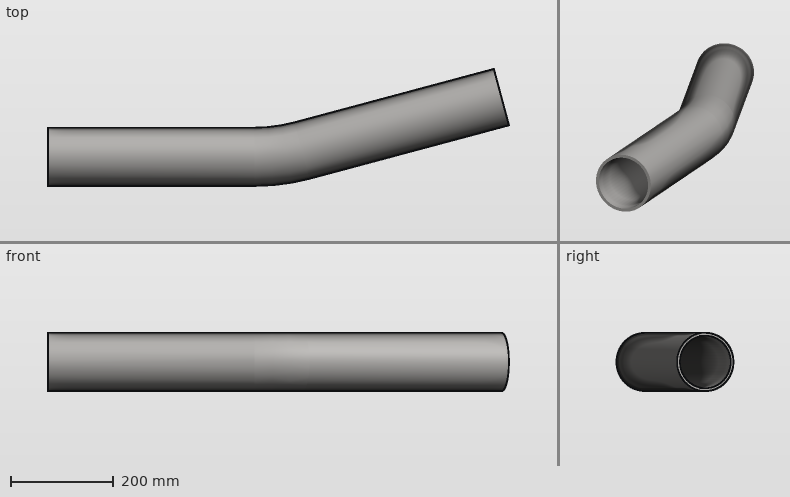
import cadquery as cq
import math

overall_length = 899.5
outer_diameter = 114.0
wall = 5.85
leg_length = 403.0
bend_angle = 15

outer_radius = outer_diameter / 2
inner_radius = outer_radius - wall
angle = math.radians(bend_angle)

legs_along_x = leg_length * (1 + math.cos(angle))
end_face_along_x = outer_radius * math.sin(angle)
bend_radius = (overall_length - legs_along_x - end_face_along_x) / math.sin(angle)



def point_on_bend(turn):
    """Centreline point after turning by the given angle in radians."""
    return (
        leg_length + bend_radius * math.sin(turn),
        bend_radius * (1 - math.cos(turn)),
    )


bend_start = point_on_bend(0)
bend_middle = point_on_bend(angle / 2)
bend_end = point_on_bend(angle)
pipe_end = (
    bend_end[0] + leg_length * math.cos(angle),
    bend_end[1] + leg_length * math.sin(angle),
)

centreline = (
    cq.Workplane("XY")
    .moveTo(0, 0)
    .lineTo(*bend_start)
    .threePointArc(bend_middle, bend_end)
    .lineTo(*pipe_end)
)

result = (
    cq.Workplane("YZ")
    .circle(outer_radius)
    .circle(inner_radius)
    .sweep(centreline)
)